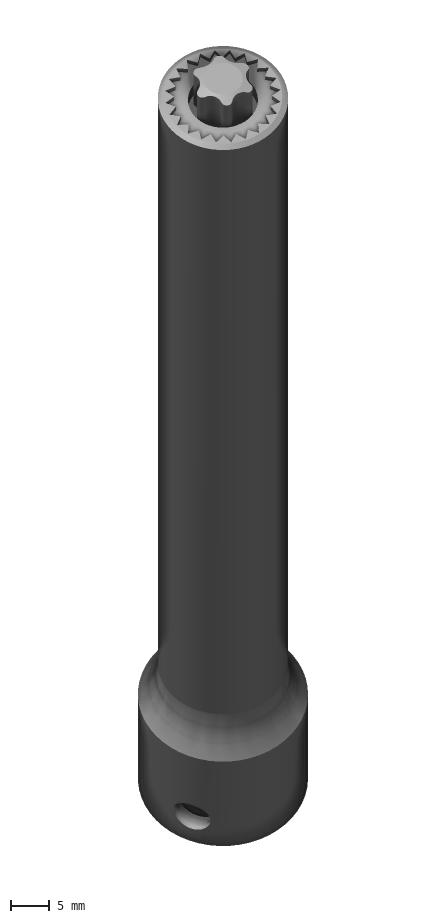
import cadquery as cq
import math

TOTAL_HEIGHT = 150.3
HEAD_RADIUS = 11.0
HEAD_HEIGHT = 18.8
SHANK_RADIUS = 8.4
NECK_TOP = 25.5
BIT_REACH = 3.8
SHANK_TOP = TOTAL_HEIGHT - BIT_REACH
HEAD_CHAMFER = 0.8
RIM_CHAMFER_WIDTH = 0.8
RIM_CHAMFER_HEIGHT = 0.38

TEETH = 24
SLEEVE_TIP_RADIUS = 7.5
SLEEVE_ROOT_RADIUS = 6.3
BORE_RADIUS = 4.5
INSERT_DEPTH = 12.0
SLEEVE_RECESS = 0.8
SLEEVE_LENGTH = INSERT_DEPTH - SLEEVE_RECESS
INSERT_FLOOR = SHANK_TOP - INSERT_DEPTH

LOBES = 6
LOBE_RADIUS = 4.0
VALLEY_RADIUS = 3.0
LOBE_ARC_RADIUS = 0.8
BIT_SHANK_DEPTH = 3.0
BIT_LOBED_LENGTH = BIT_REACH + BIT_SHANK_DEPTH
BIT_FLAT_RADIUS = 2.5
BIT_CHAMFER_HEIGHT = 0.42

PLUG_HEIGHT = 6.0
PLUG_RADIUS = 2.5
PLUG_DOME_RADIUS = 2 * PLUG_RADIUS
PLUG_RECESS = 2.3
PLUG_LENGTH = 3.0


def polar_point(radius, angle):
    """X and Y of a point at a radius and an angle in radians."""
    return (radius * math.cos(angle), radius * math.sin(angle))


def serrated_prism(height):
    """Toothed prism standing on the floor of the pocket."""
    points = []
    for corner in range(2 * TEETH):
        radius = SLEEVE_ROOT_RADIUS if corner % 2 else SLEEVE_TIP_RADIUS
        points.append(polar_point(radius, math.pi * corner / TEETH))
    return cq.Workplane("XY", origin=(0, 0, INSERT_FLOOR)).polyline(points).close().extrude(height)


def plug_cylinder(outer_y, inner_y):
    """Cylinder along the cross hole axis between two Y positions."""
    plane = cq.Plane(origin=(0, outer_y, PLUG_HEIGHT), xDir=(1, 0, 0), normal=(0, 1, 0))
    return cq.Workplane(plane).circle(PLUG_RADIUS).extrude(inner_y - outer_y)


def make_plug():
    """Plug whose outer end is a shallow spherical dome below the head surface."""
    edge_y = -HEAD_RADIUS + PLUG_RECESS
    inner_y = edge_y + PLUG_LENGTH
    dome_centre_y = edge_y + math.sqrt(PLUG_DOME_RADIUS**2 - PLUG_RADIUS**2)
    ball = cq.Workplane("XY", origin=(0, dome_centre_y, PLUG_HEIGHT)).sphere(PLUG_DOME_RADIUS)
    return plug_cylinder(-HEAD_RADIUS, inner_y).intersect(ball)


def make_housing():
    """Turned body with a toothed pocket in its top and a blind cross hole in its head."""
    flare = HEAD_RADIUS - SHANK_RADIUS
    neck_height = NECK_TOP - HEAD_HEIGHT
    neck_arc_radius = (flare**2 + neck_height**2) / (2 * flare)
    half_angle = math.asin(neck_height / neck_arc_radius) / 2
    neck_middle = (
        SHANK_RADIUS + neck_arc_radius * (1 - math.cos(half_angle)),
        NECK_TOP - neck_arc_radius * math.sin(half_angle),
    )
    housing = (
        cq.Workplane("XZ")
        .lineTo(HEAD_RADIUS - HEAD_CHAMFER, 0)
        .lineTo(HEAD_RADIUS, HEAD_CHAMFER)
        .lineTo(HEAD_RADIUS, HEAD_HEIGHT)
        .threePointArc(neck_middle, (SHANK_RADIUS, NECK_TOP))
        .lineTo(SHANK_RADIUS, SHANK_TOP - RIM_CHAMFER_HEIGHT)
        .lineTo(SHANK_RADIUS - RIM_CHAMFER_WIDTH, SHANK_TOP)
        .lineTo(0, SHANK_TOP)
        .close()
        .revolve(360, (0, 0, 0), (0, 1, 0))
    )
    cross_hole = plug_cylinder(-HEAD_RADIUS, -HEAD_RADIUS + PLUG_RECESS + PLUG_LENGTH)
    return housing.cut(serrated_prism(INSERT_DEPTH)).cut(cross_hole)


def make_sleeve():
    """Sleeve toothed on its outside, with a round bore, slightly below the shank top."""
    bore = cq.Workplane("XY", origin=(0, 0, INSERT_FLOOR)).circle(BORE_RADIUS).extrude(SLEEVE_LENGTH)
    return serrated_prism(SLEEVE_LENGTH).cut(bore)


def lobed_prism():
    """Six-lobed prism up to the top of the part, its round lobes tangent to its round valleys."""
    half_pitch = math.pi / LOBES
    lobe_centre = LOBE_RADIUS - LOBE_ARC_RADIUS
    gap = LOBE_ARC_RADIUS - VALLEY_RADIUS
    valley_centre = (lobe_centre**2 - gap**2) / (2 * (lobe_centre * math.cos(half_pitch) + gap))
    valley_arc_radius = valley_centre - VALLEY_RADIUS
    share = LOBE_ARC_RADIUS / (LOBE_ARC_RADIUS + valley_arc_radius)
    touch_x = lobe_centre + share * (valley_centre * math.cos(half_pitch) - lobe_centre)
    touch_y = share * valley_centre * math.sin(half_pitch)
    touch_radius = math.hypot(touch_x, touch_y)
    touch_angle = math.atan2(touch_y, touch_x)

    base = cq.Workplane("XY", origin=(0, 0, TOTAL_HEIGHT - BIT_LOBED_LENGTH))
    outline = base.moveTo(*polar_point(touch_radius, -touch_angle))
    for lobe in range(LOBES):
        middle = 2 * half_pitch * lobe
        next_start = middle + 2 * half_pitch - touch_angle
        outline = outline.threePointArc(
            polar_point(LOBE_RADIUS, middle), polar_point(touch_radius, middle + touch_angle)
        )
        outline = outline.threePointArc(
            polar_point(VALLEY_RADIUS, middle + half_pitch), polar_point(touch_radius, next_start)
        )
    return outline.close().extrude(BIT_LOBED_LENGTH)


def make_bit():
    """Six-lobed bit with a conical end, standing on a round shank in the bore of the sleeve."""
    envelope = (
        cq.Workplane("XZ")
        .lineTo(LOBE_RADIUS, 0)
        .lineTo(LOBE_RADIUS, TOTAL_HEIGHT - BIT_CHAMFER_HEIGHT)
        .lineTo(BIT_FLAT_RADIUS, TOTAL_HEIGHT)
        .lineTo(0, TOTAL_HEIGHT)
        .close()
        .revolve(360, (0, 0, 0), (0, 1, 0))
    )
    shank = (
        cq.Workplane("XY", origin=(0, 0, INSERT_FLOOR))
        .circle(BORE_RADIUS)
        .extrude(INSERT_DEPTH - BIT_SHANK_DEPTH)
    )
    return shank.union(lobed_prism().intersect(envelope))


housing = make_housing()
sleeve = make_sleeve()
bit = make_bit()
plug = make_plug()

result = cq.Compound.makeCompound([housing.val(), sleeve.val(), bit.val(), plug.val()])